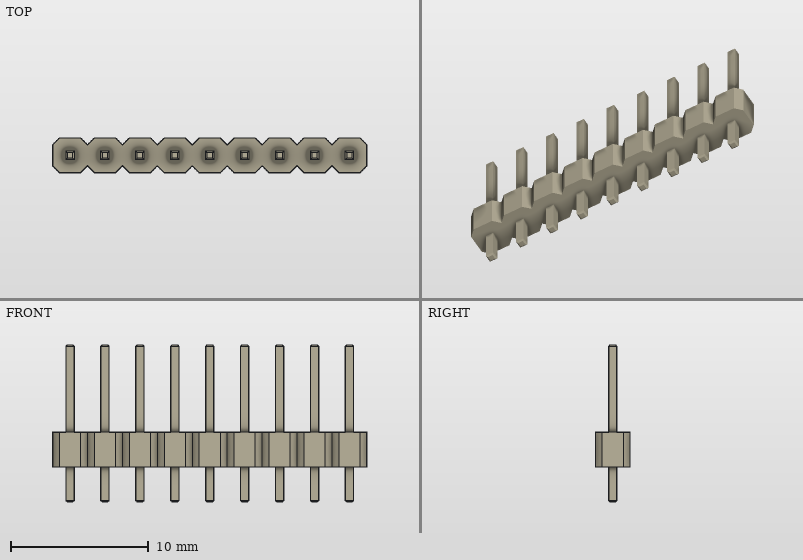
import cadquery as cq

pin_count = 9
total_length = 22.85
pitch = total_length / pin_count
housing_height = pitch
corner_cut = 0.5

pin_length = 11.43
pin_below_housing = 2.54
pin_width = 0.62
tip_chamfer = 0.11

first_pin_x = -(pin_count - 1) / 2 * pitch
pin_centers = [(first_pin_x + i * pitch, 0) for i in range(pin_count)]


def make_housing_cell(x, y):
    """Square block with its four vertical edges cut at 45 degrees."""
    return (
        cq.Workplane("XY")
        .box(pitch, pitch, housing_height, centered=(True, True, False))
        .edges("|Z")
        .chamfer(corner_cut)
        .translate((x, y, 0))
    )


def make_pin(x, y):
    """Square post, chamfered around both tips."""
    return (
        cq.Workplane("XY")
        .box(pin_width, pin_width, pin_length, centered=(True, True, False))
        .faces("<Z or >Z")
        .chamfer(tip_chamfer)
        .translate((x, y, -pin_below_housing))
    )


result = cq.Workplane("XY")
for center_x, center_y in pin_centers:
    result = result.union(make_housing_cell(center_x, center_y))
    result = result.union(make_pin(center_x, center_y))
result = result.clean()